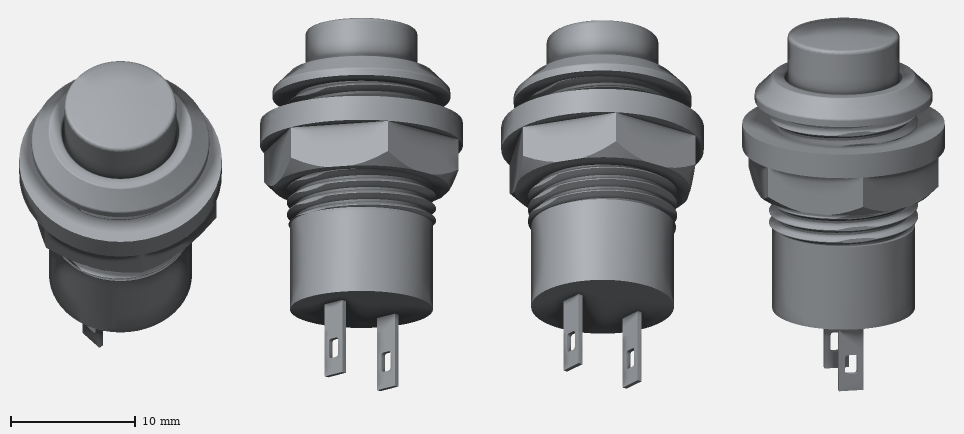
import cadquery as cq
import math


BEZEL_DIAMETER = 14.3
BEZEL_HEIGHT = 2.0
BEZEL_RIM_HEIGHT = 0.6
BEZEL_SLOPE = BEZEL_HEIGHT - BEZEL_RIM_HEIGHT
BEZEL_EDGE_RADIUS = 0.2
BUTTON_BORE_DIAMETER = 9.4
BUTTON_BORE_FLOOR_Z = -2.0
BARREL_LENGTH = 10.6

THREAD_PITCH = 1.0
THREAD_CREST_LEAD = 0.17
THREAD_SPARE_TURNS = 2
THREAD_ROOT_OVERLAP = 0.1

BARREL_THREAD_DIAMETER = 12.0
BARREL_ROOT_DIAMETER = 10.74
BARREL_RIDGE_BASE_WIDTH = 0.8
BARREL_RIDGE_CREST_WIDTH = 0.05

NUT_THREAD_DIAMETER = 12.15
NUT_BORE_DIAMETER = 11.04
NUT_GROOVE_MOUTH_WIDTH = 0.65
NUT_GROOVE_FLOOR_WIDTH = 0.4

BASE_DIAMETER = 11.5
BASE_LENGTH = 7.0

NUT_TOP_Z = -2.0
NUT_FLANGE_DIAMETER = 16.3
NUT_FLANGE_THICKNESS = 2.0
NUT_ACROSS_FLATS = 14.0
NUT_ACROSS_CORNERS = NUT_ACROSS_FLATS / math.cos(math.pi / 6)
NUT_HEX_HEIGHT = 3.5
NUT_CHAMFER_HEIGHT = 1.0

BUTTON_DIAMETER = 9.0
BUTTON_TOP_Z = 5.8
BUTTON_DOME_RISE = 0.3
BUTTON_EDGE_RADIUS = 0.3

TERMINAL_WIDTH = 2.0
TERMINAL_THICKNESS = 0.4
TERMINAL_LENGTH = 6.0
TERMINAL_SPACING = 6.0
EYE_WIDTH = 1.0
EYE_HEIGHT = 1.6
EYE_CORNER_RADIUS = 0.2
EYE_CENTRE_FROM_TIP = 2.2

BARREL_BOTTOM_Z = -BARREL_LENGTH
BASE_BOTTOM_Z = BARREL_BOTTOM_Z - BASE_LENGTH
TERMINAL_TIP_Z = BASE_BOTTOM_Z - TERMINAL_LENGTH
NUT_HEX_TOP_Z = NUT_TOP_Z - NUT_FLANGE_THICKNESS
NUT_BOTTOM_Z = NUT_HEX_TOP_Z - NUT_HEX_HEIGHT


def cylinder(diameter, bottom_z, top_z):
    """Cylinder on the Z axis between two heights."""
    return cq.Workplane("XY").workplane(offset=bottom_z).circle(diameter / 2).extrude(top_z - bottom_z)


def make_thread_ridge(root_diameter, crest_diameter, root_width, crest_width):
    """Right-hand helical ridge of trapezoidal section, longer than the barrel at both ends."""
    turns = math.ceil(BARREL_LENGTH / THREAD_PITCH) + 2 * THREAD_SPARE_TURNS
    start_z = THREAD_CREST_LEAD + THREAD_PITCH * (THREAD_SPARE_TURNS - turns)
    crest_radius = crest_diameter / 2
    root_radius = root_diameter / 2
    inner_radius = root_radius - THREAD_ROOT_OVERLAP
    width_per_depth = (root_width - crest_width) / (crest_radius - root_radius)
    inner_width = root_width + width_per_depth * THREAD_ROOT_OVERLAP
    helix = cq.Wire.makeHelix(THREAD_PITCH, turns * THREAD_PITCH, inner_radius)
    ridge = (
        cq.Workplane("XZ")
        .moveTo(inner_radius, -inner_width / 2)
        .lineTo(crest_radius, -crest_width / 2)
        .lineTo(crest_radius, crest_width / 2)
        .lineTo(inner_radius, inner_width / 2)
        .close()
        .sweep(cq.Workplane(helix), isFrenet=True)
    )
    return ridge.translate((0, 0, start_z))


def make_bezel():
    """Conical bezel with a short cylindrical rim and softened edges."""
    return (
        cylinder(BEZEL_DIAMETER, 0, BEZEL_HEIGHT)
        .faces(">Z").edges().chamfer(BEZEL_SLOPE)
        .faces("%CONE").edges("%CIRCLE").fillet(BEZEL_EDGE_RADIUS)
    )


def make_barrel():
    """Bezel and threaded barrel in one, with the button's blind bore and two flats across Y."""
    envelope = (
        cq.Workplane("XY").workplane(offset=BARREL_BOTTOM_Z)
        .rect(BEZEL_DIAMETER, BASE_DIAMETER)
        .extrude(BARREL_LENGTH)
    )
    core = cylinder(BARREL_ROOT_DIAMETER, BARREL_BOTTOM_Z, 0)
    ridge = make_thread_ridge(
        BARREL_ROOT_DIAMETER, BARREL_THREAD_DIAMETER, BARREL_RIDGE_BASE_WIDTH, BARREL_RIDGE_CREST_WIDTH
    )
    threaded = core.union(ridge.intersect(envelope))
    bore = cylinder(BUTTON_BORE_DIAMETER, BUTTON_BORE_FLOOR_Z, BEZEL_HEIGHT)
    barrel = threaded.union(make_bezel()).cut(bore)
    return barrel.faces(">Z").edges(cq.selectors.RadiusNthSelector(0)).fillet(BEZEL_EDGE_RADIUS)


def make_base():
    """Plain cylinder closing the lower end of the barrel."""
    return cylinder(BASE_DIAMETER, BASE_BOTTOM_Z, BARREL_BOTTOM_Z)


def make_nut():
    """Threaded hexagon nut with a round flange on top and its lower corners cut back by a 45 degree cone."""
    flange = cylinder(NUT_FLANGE_DIAMETER, NUT_HEX_TOP_Z, NUT_TOP_Z)
    hexagon = (
        cq.Workplane("XY").workplane(offset=NUT_BOTTOM_Z)
        .transformed(rotate=(0, 0, 90))
        .polygon(6, NUT_ACROSS_CORNERS)
        .extrude(NUT_HEX_HEIGHT)
    )
    cone = (
        cylinder(NUT_ACROSS_CORNERS, NUT_BOTTOM_Z, NUT_HEX_TOP_Z)
        .faces("<Z").edges().chamfer(NUT_CHAMFER_HEIGHT)
    )
    bore = cylinder(NUT_BORE_DIAMETER, NUT_BOTTOM_Z, NUT_TOP_Z)
    groove = make_thread_ridge(
        NUT_BORE_DIAMETER, NUT_THREAD_DIAMETER, NUT_GROOVE_MOUTH_WIDTH, NUT_GROOVE_FLOOR_WIDTH
    )
    envelope = cylinder(NUT_FLANGE_DIAMETER, NUT_BOTTOM_Z, NUT_TOP_Z)
    return hexagon.intersect(cone).union(flange).cut(bore).cut(groove.intersect(envelope))


def make_button():
    """Plain round button with a shallow spherical top and a rounded edge."""
    radius = BUTTON_DIAMETER / 2
    sphere_radius = (radius**2 + BUTTON_DOME_RISE**2) / (2 * BUTTON_DOME_RISE)
    sphere = cq.Workplane("XY").sphere(sphere_radius).translate((0, 0, BUTTON_TOP_Z - sphere_radius))
    return (
        cylinder(BUTTON_DIAMETER, BUTTON_BORE_FLOOR_Z, BUTTON_TOP_Z)
        .intersect(sphere)
        .edges(cq.selectors.RadiusNthSelector(0)).edges(">Z").fillet(BUTTON_EDGE_RADIUS)
    )


def make_terminal(y):
    """Flat solder tab with a rounded rectangular eye near its tip."""
    blade = cq.Workplane("XY").rect(TERMINAL_WIDTH, TERMINAL_THICKNESS).extrude(TERMINAL_LENGTH)
    eye = (
        cq.Workplane("XY").box(EYE_WIDTH, 2 * TERMINAL_THICKNESS, EYE_HEIGHT)
        .edges("|Y").fillet(EYE_CORNER_RADIUS)
        .translate((0, 0, EYE_CENTRE_FROM_TIP))
    )
    return blade.cut(eye).translate((0, y, TERMINAL_TIP_Z))


barrel = make_barrel()
base = make_base()
nut = make_nut()
button = make_button()
terminals = [make_terminal(side * TERMINAL_SPACING / 2) for side in (-1, 1)]

result = cq.Compound.makeCompound([
    barrel.val(),
    base.val(),
    nut.val(),
    button.val(),
    *[terminal.val() for terminal in terminals],
])